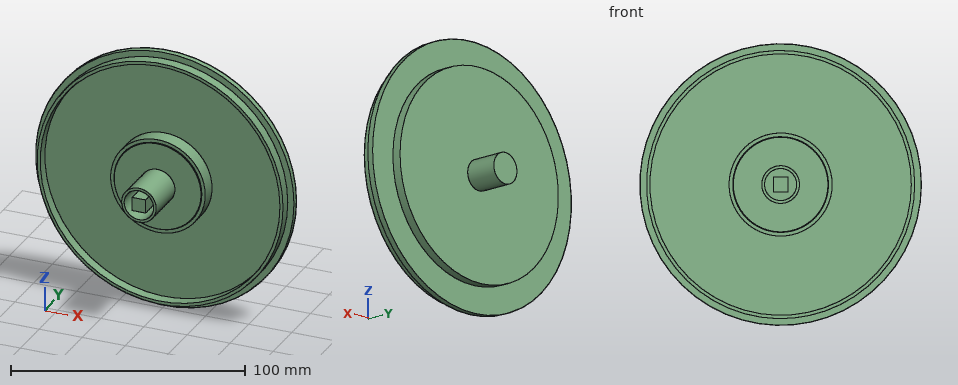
import cadquery as cq

flange_radius = 60.0
flange_thickness = 2.9
rim_radius = 57.1
rim_inner_radius = 55.7
rim_height = 5.0
back_step_radius = 47.8
back_step_height = 4.3
hub_radius = 22.0
hub_projection = 2.3
hub_recess_radius = 20.4

disc_clearance = 0.2
disc_projection = 0.4
disc_radius = hub_recess_radius - disc_clearance
shaft_radius = 7.0
shaft_projection = 15.7
tube_radius = 8.0
tube_bore_radius = 6.8
tube_length = 19.9
square_side = 6.2

flange_front = 0.0
flange_back = flange_front + flange_thickness
step_back = flange_back + back_step_height
shaft_end = step_back + shaft_projection
rim_front = flange_front - rim_height
hub_front = rim_front - hub_projection
recess_floor = flange_front
disc_front = hub_front - disc_projection
tube_end = disc_front - tube_length


def cylinder(radius, y_front, y_back):
    """Cylinder on the Y axis between two stations."""
    return cq.Workplane("XZ", origin=(0, y_back, 0)).circle(radius).extrude(y_back - y_front)


def make_wheel():
    """Flanged wheel with a raised rim, a hub cup in front and a bore for the shaft."""
    flange = cylinder(flange_radius, flange_front, flange_back)
    back_step = cylinder(back_step_radius, flange_back, step_back)
    rim = cylinder(rim_radius, rim_front, flange_front).cut(
        cylinder(rim_inner_radius, rim_front, flange_front)
    )
    hub = cylinder(hub_radius, hub_front, flange_front).cut(
        cylinder(hub_recess_radius, hub_front, recess_floor)
    )
    bore = cylinder(shaft_radius, recess_floor, step_back)
    return flange.union(back_step).union(rim).union(hub).cut(bore)


def make_rotor():
    """Disc on the recess floor, with a shaft behind and a tube around a square drive in front."""
    disc = cylinder(disc_radius, disc_front, recess_floor)
    shaft = cylinder(shaft_radius, recess_floor, shaft_end)
    tube = cylinder(tube_radius, tube_end, disc_front).cut(
        cylinder(tube_bore_radius, tube_end, disc_front)
    )
    square_drive = (
        cq.Workplane("XZ", origin=(0, disc_front, 0))
        .rect(square_side, square_side)
        .extrude(tube_length)
    )
    return disc.union(shaft).union(tube).union(square_drive)


wheel = make_wheel()
rotor = make_rotor()
result = cq.Compound.makeCompound([wheel.val(), rotor.val()])